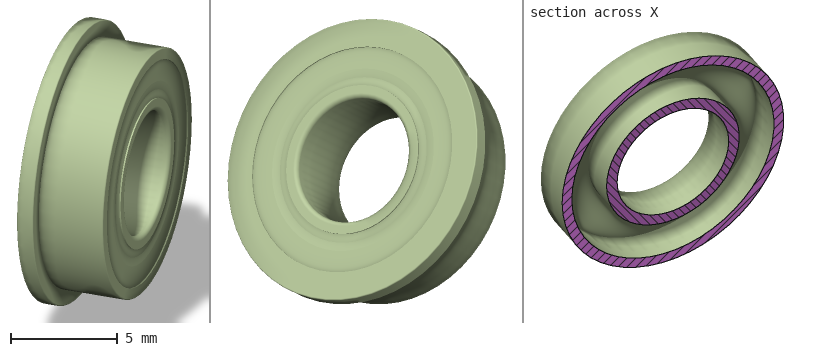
import cadquery as cq

width = 4.0
flange_diameter = 13.6
flange_width = 0.8
body_diameter = 12.0
bore_diameter = 6.0
outer_edge_radius = 0.05
bore_edge_radius = 0.2

outer_ring_bore = 10.9
inner_ring_diameter = 7.2
shield_recess = 0.07
shield_thickness = 0.27
groove_outer_diameter = 8.81
groove_bottom_diameter = 8.0
groove_depth = 0.034


def disc(diameter, length):
    """A cylinder along +X that starts at x = 0."""
    return cq.Workplane("YZ").circle(diameter / 2).extrude(length)


def make_outer_ring():
    """Flanged ring with rounded outer edges and a plain bore."""
    flange = disc(flange_diameter, flange_width).edges().fillet(outer_edge_radius)
    body = disc(body_diameter, width).edges(">X").fillet(outer_edge_radius)
    return flange.union(body).cut(disc(outer_ring_bore, width))


def make_inner_ring():
    """Plain ring with a rounded bore edge at each end."""
    ring = disc(inner_ring_diameter, width).cut(disc(bore_diameter, width))
    bore_edges = cq.selectors.RadiusNthSelector(0)
    return ring.edges(bore_edges).fillet(bore_edge_radius)


def make_shield():
    """Thin washer at the flanged end, with a V-shaped groove near its inner edge."""
    inner_face = shield_recess + shield_thickness
    profile = [
        (shield_recess, outer_ring_bore / 2),
        (shield_recess, groove_outer_diameter / 2),
        (shield_recess + groove_depth, groove_bottom_diameter / 2),
        (shield_recess, inner_ring_diameter / 2),
        (inner_face, inner_ring_diameter / 2),
        (inner_face, outer_ring_bore / 2),
    ]
    return cq.Workplane("XY").polyline(profile).close().revolve(360, (0, 0, 0), (1, 0, 0))


outer_ring = make_outer_ring()
inner_ring = make_inner_ring()

shields = []
for is_far_end in (False, True):
    shield = make_shield()
    if is_far_end:
        shield = shield.mirror("YZ", (width / 2, 0, 0))
    shields.append(shield.val())

result = cq.Compound.makeCompound([outer_ring.val(), inner_ring.val(), *shields])